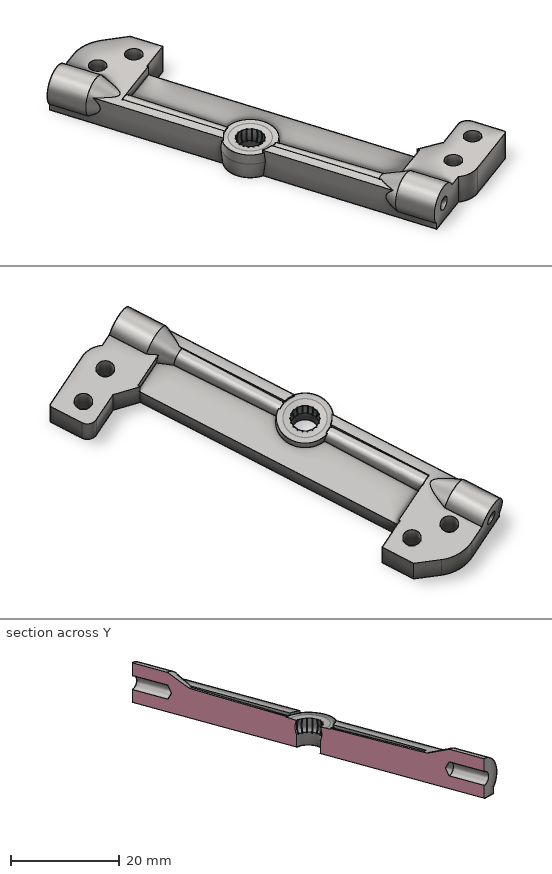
import cadquery as cq
import math

half_length = 40.0
plate_height = 6.0
front_y = -3.0
bar_back_y = 10.0
bolt_hole_diameter = 3.4

left_plate_inner_x = -26.25
left_plate_back_y = 16.5
left_corner_x = -33.0
left_round_radius = 8.0
left_round_center = (-half_length + left_round_radius, 7.0)
left_bolt_holes = [(-34.5, 6.0), (-30.0, 12.0)]

right_plate_back_y = 22.0
right_plate_inner_x = 33.0
right_flare_start_x = 29.5
right_flare_end_y = 14.0
right_bolt_holes = [(37.0, 10.0), (37.0, 18.0)]
right_round_radius = 5.0
right_round_center = right_bolt_holes[0]
right_plate_outer_x = right_round_center[0] + right_round_radius
right_inner_fillet = 2.0
right_outer_fillet = 0.5

deck_height = 4.0
deck_left_x = -26.0
deck_right_x = 30.0
lip_back_y = -1.0

axis_height = 4.0
pivot_radius = 4.0
pivot_length = 8.0
cone_length = 5.0
rod_outer_radius = 2.0
rod_inner_radius = 1.6

pivot_hole_diameter = 2.7
pivot_hole_depth = 8.0
drill_tip_angle = 118.0

boss_height = 5.5
boss_widest_height = 3.5
boss_widest_radius = 5.5
boss_base_radius = 5.15
boss_top_radius = 5.3
boss_clearance_radius = 5.0
dish_radius = 4.1
dish_depth = 0.1

socket_radius = 3.0
socket_rim_height = boss_height - dish_depth
bore_radius = math.sqrt(socket_radius**2 - (socket_rim_height - axis_height) ** 2)
groove_count = 18
groove_diameter = 0.2


def tangent_point(point, center, radius):
    """Point where the line from `point` touches the upper left of a circle."""
    dx = point[0] - center[0]
    dy = point[1] - center[1]
    angle = math.atan2(dy, dx) + math.acos(radius / math.hypot(dx, dy))
    return point_on_circle(center, radius, angle)


def point_on_circle(center, radius, angle):
    return (center[0] + radius * math.cos(angle), center[1] + radius * math.sin(angle))


def make_plates_and_bar():
    left_corner = (left_corner_x, left_plate_back_y)
    round_end = tangent_point(left_corner, left_round_center, left_round_radius)
    round_end_angle = math.atan2(round_end[1] - left_round_center[1], round_end[0] - left_round_center[0])
    round_middle = point_on_circle(left_round_center, left_round_radius, (math.pi + round_end_angle) / 2)

    stop_angle = -math.acos((half_length - right_round_center[0]) / right_round_radius)
    right_round_middle = point_on_circle(right_round_center, right_round_radius, stop_angle / 2)
    right_round_end = point_on_circle(right_round_center, right_round_radius, stop_angle)

    outline = (
        cq.Workplane("XY")
        .moveTo(-half_length, front_y)
        .lineTo(-half_length, left_round_center[1])
        .threePointArc(round_middle, round_end)
        .lineTo(*left_corner)
        .lineTo(left_plate_inner_x, left_plate_back_y)
        .lineTo(left_plate_inner_x, bar_back_y)
        .lineTo(right_flare_start_x, bar_back_y)
        .lineTo(right_plate_inner_x, right_flare_end_y)
        .lineTo(right_plate_inner_x, right_plate_back_y)
        .lineTo(right_plate_outer_x, right_plate_back_y)
        .lineTo(right_plate_outer_x, right_round_center[1])
        .threePointArc(right_round_middle, right_round_end)
        .lineTo(half_length, front_y)
        .close()
    )
    body = outline.extrude(plate_height)
    for corner_x, fillet in (
        (right_plate_inner_x, right_inner_fillet),
        (right_plate_outer_x, right_outer_fillet),
    ):
        corner = (corner_x, right_plate_back_y, plate_height / 2)
        body = body.edges(cq.selectors.NearestToPointSelector(corner)).fillet(fillet)
    return body


def make_deck_cut():
    return cq.Workplane("XY").box(
        deck_right_x - deck_left_x,
        bar_back_y - lip_back_y,
        plate_height - deck_height,
        centered=False,
    ).translate((deck_left_x, lip_back_y, deck_height))


def revolve_about_pivot_axis(profile):
    """Revolve (x, radius) points around the pivot axis."""
    return (
        cq.Workplane("XZ")
        .polyline(profile)
        .close()
        .revolve(360, (0, 0), (1, 0))
        .translate((0, 0, axis_height))
    )


def make_pivot(side):
    """Pivot, cone and rod on the left (side = -1) or right (side = 1)."""
    cone_start = half_length - pivot_length
    rod_start = cone_start - cone_length
    return revolve_about_pivot_axis([
        (0, 0),
        (side * half_length, 0),
        (side * half_length, pivot_radius),
        (side * cone_start, pivot_radius),
        (side * rod_start, rod_outer_radius),
        (0, rod_inner_radius),
    ])


def make_pivot_hole(side):
    radius = pivot_hole_diameter / 2
    hole_end = half_length - pivot_hole_depth
    tip_length = radius / math.tan(math.radians(drill_tip_angle / 2))
    return revolve_about_pivot_axis([
        (side * half_length, 0),
        (side * half_length, radius),
        (side * hole_end, radius),
        (side * (hole_end - tip_length), 0),
    ])


def make_boss():
    return (
        cq.Workplane("XZ")
        .lineTo(boss_base_radius, 0)
        .lineTo(boss_widest_radius, boss_widest_height)
        .lineTo(boss_top_radius, boss_height)
        .lineTo(dish_radius, boss_height)
        .lineTo(bore_radius, socket_rim_height)
        .lineTo(0, socket_rim_height)
        .close()
        .revolve(360, (0, 0), (0, 1))
    )


def cut_ball_socket(body):
    center = (0, 0, axis_height)
    bore = cq.Workplane("XY").circle(bore_radius).extrude(axis_height)
    ball = cq.Workplane("XY").sphere(socket_radius).translate(center)
    body = body.cut(bore).cut(ball)

    groove_pitch = 360 / groove_count
    for index in range(groove_count // 2):
        angle = math.radians((index + 0.5) * groove_pitch)
        ring_axis = cq.Vector(-math.sin(angle), math.cos(angle), 0)
        ring = cq.Solid.makeTorus(socket_radius, groove_diameter / 2, cq.Vector(*center), ring_axis)
        body = body.cut(cq.Workplane(ring))
    return body


result = make_plates_and_bar().cut(make_deck_cut())
for side in (-1, 1):
    result = result.union(make_pivot(side))

boss_clearance = cq.Workplane("XY").circle(boss_clearance_radius).extrude(plate_height)
result = result.cut(boss_clearance).union(make_boss())
result = cut_ball_socket(result)

bolt_holes = (
    cq.Workplane("XY")
    .pushPoints(left_bolt_holes + right_bolt_holes)
    .circle(bolt_hole_diameter / 2)
    .extrude(plate_height)
)
result = result.cut(bolt_holes)
for side in (-1, 1):
    result = result.cut(make_pivot_hole(side))